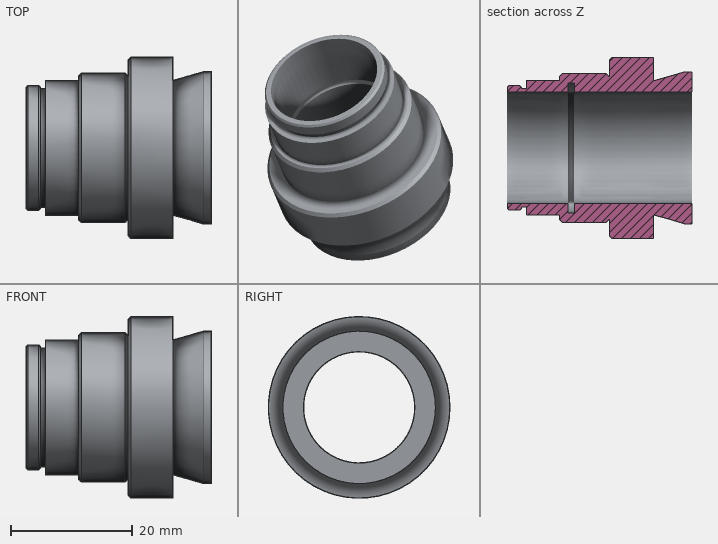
import cadquery as cq

length = 30.55
rim_end = 2.38
neck_end = 3.18
pilot_end = 8.6
body_end = 16.8
collar_end = 24.2
flare_end = 29.23

rim_diameter = 20.6
neck_diameter = 19.6
pilot_diameter = 22.25
body_diameter = 24.65
collar_diameter = 29.95
flare_start_diameter = 22.23
flare_diameter = 25.13

bore_diameter = 18.3
bore_groove_diameter = 21.38
bore_groove_start = 10.08
bore_groove_width = 1.0

rim_chamfer = 0.3
shoulder_chamfer = 0.5


def cylinder(start, end, diameter):
    """Solid cylinder about the X axis between two axial stations."""
    return cq.Workplane("YZ", origin=(start, 0, 0)).circle(diameter / 2).extrude(end - start)


def flare():
    """Cone that widens from the collar to the flared end."""
    return (
        cq.Workplane("YZ", origin=(collar_end, 0, 0))
        .circle(flare_start_diameter / 2)
        .workplane(offset=flare_end - collar_end)
        .circle(flare_diameter / 2)
        .loft()
    )


rim = cylinder(0, rim_end, rim_diameter).edges().chamfer(rim_chamfer)
neck = cylinder(0, neck_end, neck_diameter)
pilot = cylinder(neck_end, pilot_end, pilot_diameter)
body = cylinder(pilot_end, body_end, body_diameter).edges().chamfer(shoulder_chamfer)
collar = cylinder(body_end, collar_end, collar_diameter).edges("<X").chamfer(shoulder_chamfer)
flare_land = cylinder(flare_end, length, flare_diameter)

sleeve = rim
for step in (neck, pilot, body, collar, flare(), flare_land):
    sleeve = sleeve.union(step)

sleeve = sleeve.cut(cylinder(0, length, bore_diameter))
bore_groove_end = bore_groove_start + bore_groove_width
sleeve = sleeve.cut(cylinder(bore_groove_start, bore_groove_end, bore_groove_diameter))

result = sleeve.translate((-length / 2, 0, 0))